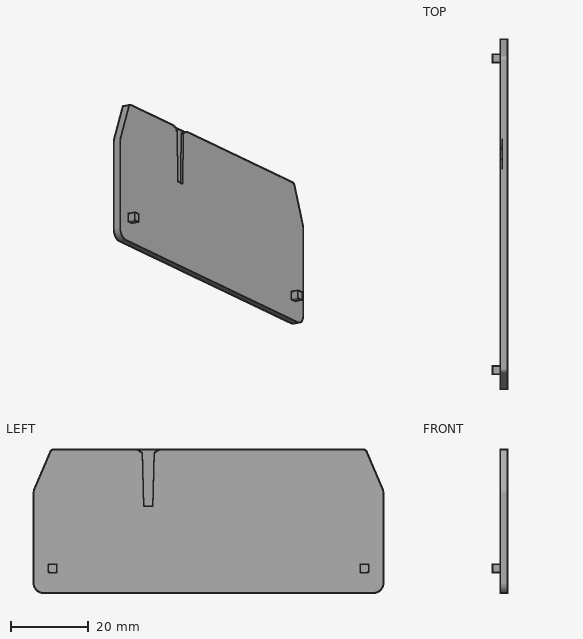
import cadquery as cq
import math

length = 90.0
height = 37.0
thickness = 2.0
slope_width = 4.6
slope_height = 10.7
bottom_radius = 2.7
slope_top_radius = 1.1
slope_foot_radius = 2.7

pin_width = 2.2
pin_corner_radius = 0.3
pin_length = 2.0
pin_edge_distance = 4.95
pin_height = 6.4

groove_y = 15.5
groove_depth = 0.6
groove_length = 14.6
groove_top_width = 3.1
groove_bottom_width = 2.3
groove_corner_radius = 0.3
mouth_radius = 3.2
mouth_angle = math.radians(45)


def make_plate():
    half = length / 2
    shoulder = height - slope_height
    outline = [
        (-half, 0),
        (half, 0),
        (half, shoulder),
        (half - slope_width, height),
        (-half + slope_width, height),
        (-half, shoulder),
    ]
    plate = cq.Workplane("YZ").polyline(outline).close().extrude(thickness)
    plate = plate.edges("|X and <Z").fillet(bottom_radius)
    plate = plate.edges("|X and >Z").fillet(slope_top_radius)
    foot_zone = cq.selectors.BoxSelector(
        (-thickness, -length, shoulder - slope_foot_radius),
        (2 * thickness, length, shoulder + slope_foot_radius),
    )
    return plate.edges("|X").edges(foot_zone).fillet(slope_foot_radius)


def make_groove():
    """Tapered groove whose mouth flares out in arcs tangent to the top edge."""
    half_top = groove_top_width / 2
    half_bottom = groove_bottom_width / 2
    half_mouth = half_top + mouth_radius * math.sin(mouth_angle)
    neck_z = height - mouth_radius * (1 - math.cos(mouth_angle))
    middle_y = half_mouth - mouth_radius * math.sin(mouth_angle / 2)
    middle_z = height - mouth_radius * (1 - math.cos(mouth_angle / 2))
    floor_z = height - groove_length
    groove = (
        cq.Workplane("YZ")
        .moveTo(-half_bottom, floor_z)
        .lineTo(half_bottom, floor_z)
        .lineTo(half_top, neck_z)
        .threePointArc((middle_y, middle_z), (half_mouth, height))
        .lineTo(-half_mouth, height)
        .threePointArc((-middle_y, middle_z), (-half_top, neck_z))
        .close()
        .extrude(groove_depth)
    )
    groove = groove.edges("|X and <Z").fillet(groove_corner_radius)
    return groove.translate((0, groove_y, 0))


def make_pins():
    """Square pins with rounded long edges, one near each end of the plate."""
    pin_y = length / 2 - pin_edge_distance
    pins = (
        cq.Workplane("YZ")
        .pushPoints([(-pin_y, pin_height), (pin_y, pin_height)])
        .rect(pin_width, pin_width)
        .extrude(-pin_length)
    )
    return pins.edges("|X").fillet(pin_corner_radius)


result = make_plate().cut(make_groove()).union(make_pins())